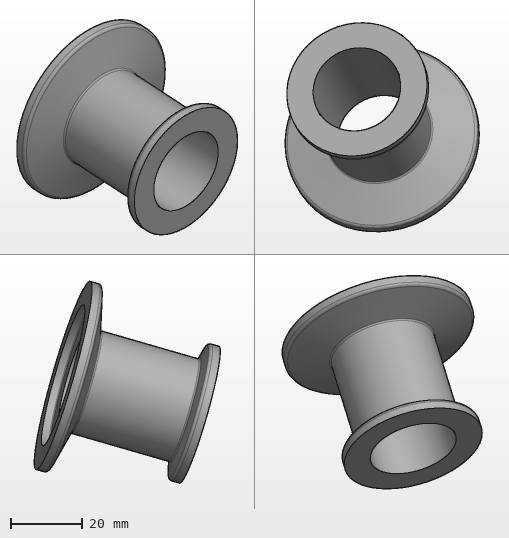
import cadquery as cq
import math

length = 40.0
large_flange_radius = 27.5
small_flange_radius = 20.0
tube_radius = 15.0
bore_radius = 12.5
rim_width = 3.0
cone_angle = 15.0
rim_fillet = 1.0
root_fillet = 0.5
recess_radius = 20.6
recess_depth = 2.6
recess_fillet = 0.35


def back_face_root(flange_radius):
    """Distance from the flange end to where its conical back meets the tube."""
    return rim_width + (flange_radius - tube_radius) * math.tan(math.radians(cone_angle))


def revolve_about_x(profile):
    return profile.close().revolve(360, (0, 0, 0), (1, 0, 0))


def circle_edges(body, x, radius):
    """Select the circular edge around the X axis at the given place."""
    margin = 0.005
    low = (x - margin, -radius - margin, -radius - margin)
    high = (x + margin, radius + margin, radius + margin)
    return body.edges(cq.selectors.BoxSelector(low, high, boundingbox=True))


body = revolve_about_x(
    cq.Workplane("XY")
    .lineTo(0, large_flange_radius)
    .lineTo(rim_width, large_flange_radius)
    .lineTo(back_face_root(large_flange_radius), tube_radius)
    .lineTo(length - back_face_root(small_flange_radius), tube_radius)
    .lineTo(length - rim_width, small_flange_radius)
    .lineTo(length, small_flange_radius)
    .lineTo(length, 0)
)

rounded_circles = [
    (rim_width, large_flange_radius, rim_fillet),
    (back_face_root(large_flange_radius), tube_radius, root_fillet),
    (length - back_face_root(small_flange_radius), tube_radius, root_fillet),
    (length - rim_width, small_flange_radius, rim_fillet),
]
for x, radius, fillet in rounded_circles:
    body = circle_edges(body, x, radius).fillet(fillet)

recess = (
    cq.Workplane("YZ")
    .circle(recess_radius)
    .extrude(recess_depth)
    .faces(">X")
    .edges()
    .fillet(recess_fillet)
)

bore = cq.Workplane("YZ").circle(bore_radius).extrude(length)

result = body.cut(recess).cut(bore)